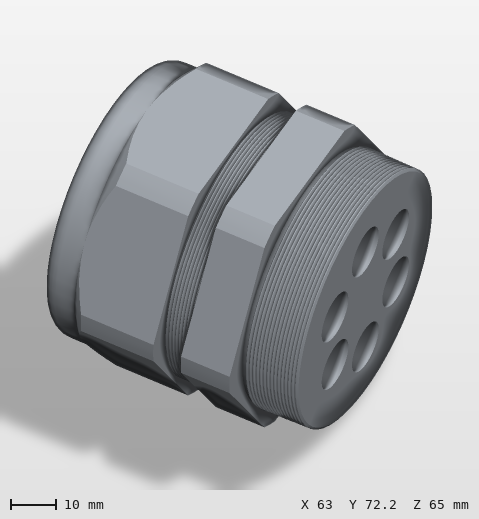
import cadquery as cq
import math

collar_end = 8.5
cap_hex_end = 30.1
nut_start = 37.0
nut_end = 49.1
overall_length = 62.99

across_flats = 65.02
across_corners = 72.15
collar_radius = across_flats / 2
corner_radius = across_corners / 2
hex_point_diameter = across_flats / math.cos(math.radians(30))
collar_fillet = 3.8

neck_crest_radius = 31.4
neck_root_radius = 30.8
neck_ring_count = 8
neck_runout = 0.2
crest_flat_share = 0.25
relief_length = 0.9
relief_radius = 30.3
end_crest_radius = 30.9
end_taper = 0.25
end_ring_depth = 0.6
end_ring_count = 15

bore_mouth_radius = 22.0
bore_mouth_depth = 0.5
insert_radius = 21.8
cable_hole_diameter = 12.0
cable_hole_count = 6
cable_hole_circle_radius = 15.75


def cylinder(start, end, radius):
    """Round bar along X between two stations."""
    return cq.Workplane("YZ").workplane(offset=start).circle(radius).extrude(end - start)


def rounded_hex(start, end):
    """Hexagonal prism along X with its corners turned to the corner radius."""
    prism = (
        cq.Workplane("YZ")
        .workplane(offset=start)
        .polygon(6, hex_point_diameter)
        .extrude(end - start)
    )
    return prism.intersect(cylinder(start, end, corner_radius))


def threaded_section(start, end, ring_count, depth, start_crest, end_crest):
    """Turned section with flat-topped rings; the crest radius runs evenly from start to end."""
    pitch = (end - start) / ring_count
    half_flat = crest_flat_share * pitch / 2
    profile = [(start, 0), (start, start_crest - depth)]
    for ring in range(ring_count):
        crest = start_crest + (end_crest - start_crest) * (ring + 0.5) / ring_count
        crest_middle = start + (ring + 0.5) * pitch
        profile.append((crest_middle - half_flat, crest))
        profile.append((crest_middle + half_flat, crest))
        profile.append((start + (ring + 1) * pitch, crest - depth))
    profile.append((end, 0))
    return cq.Workplane("XY").polyline(profile).close().revolve(360, (0, 0, 0), (1, 0, 0))


def chamfered_cap_hex():
    """Cap hexagon whose front corners are turned back at 45 degrees from the collar."""
    chamfer_length = corner_radius - collar_radius
    envelope = (
        cq.Workplane("XY")
        .moveTo(collar_end, 0)
        .lineTo(collar_end, collar_radius)
        .lineTo(collar_end + chamfer_length, corner_radius)
        .lineTo(cap_hex_end, corner_radius)
        .lineTo(cap_hex_end, 0)
        .close()
        .revolve(360, (0, 0, 0), (1, 0, 0))
    )
    return rounded_hex(collar_end, cap_hex_end).intersect(envelope)


def make_gland_body():
    """Collar, cap hexagon, threaded neck, nut and end thread in one piece, bored through."""
    collar = cylinder(0, collar_end, collar_radius).faces("<X").edges().fillet(collar_fillet)
    neck_core = cylinder(cap_hex_end, nut_start, neck_root_radius)
    neck_thread = threaded_section(
        cap_hex_end + neck_runout,
        nut_start - neck_runout,
        neck_ring_count,
        neck_crest_radius - neck_root_radius,
        neck_crest_radius,
        neck_crest_radius,
    )
    nut = rounded_hex(nut_start, nut_end)
    thread_start = nut_end + relief_length
    relief = cylinder(nut_end, thread_start, relief_radius)
    end_thread = threaded_section(
        thread_start,
        overall_length,
        end_ring_count,
        end_ring_depth,
        end_crest_radius,
        end_crest_radius - end_taper,
    )
    body = collar.union(chamfered_cap_hex())
    for section in (neck_core, neck_thread, nut, relief, end_thread):
        body = body.union(section)
    bore_mouth = cylinder(0, bore_mouth_depth, bore_mouth_radius)
    bore = cylinder(0, overall_length, insert_radius)
    return body.cut(bore_mouth).cut(bore)


def make_sealing_insert():
    """Plug filling the bore behind the mouth, pierced by a ring of cable holes."""
    plug = cylinder(bore_mouth_depth, overall_length, insert_radius)
    cable_holes = (
        cq.Workplane("YZ")
        .polarArray(cable_hole_circle_radius, 90, 360, cable_hole_count)
        .circle(cable_hole_diameter / 2)
        .extrude(overall_length)
    )
    return plug.cut(cable_holes)


gland_body = make_gland_body()
sealing_insert = make_sealing_insert()

result = cq.Compound.makeCompound([gland_body.val(), sealing_insert.val()])